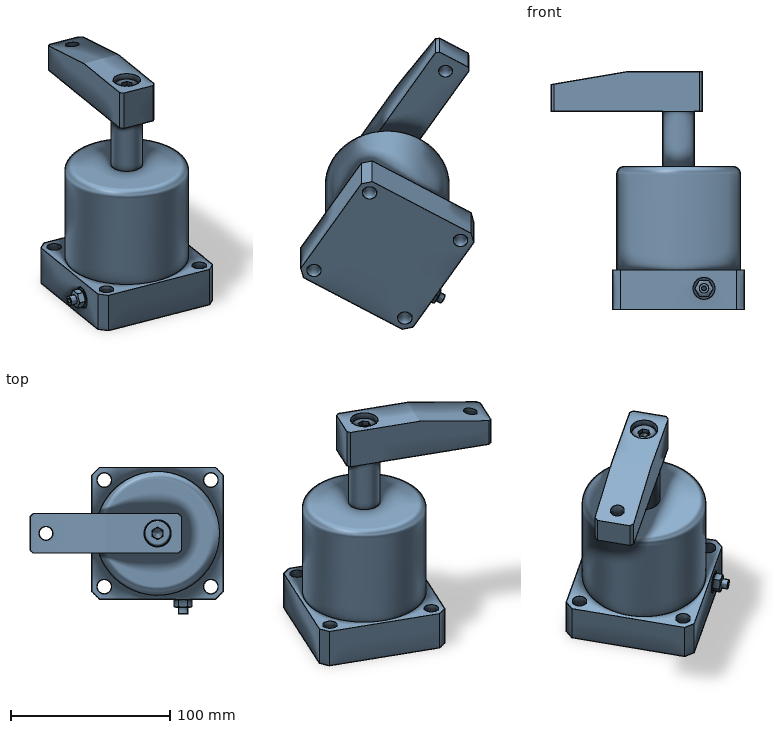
import cadquery as cq
import math

total_height = 149.5

base_side = 82.8
base_height = 25.0
base_chamfer = 5.0
mount_hole_inset = 7.9
mount_hole_diameter = 9.0
cylinder_diameter = 77.9
cylinder_top = 90.0
cylinder_fillet = 5.0

arm_height = 25.0
arm_width = 25.0
arm_tail = 15.0
arm_reach = 80.1
arm_tip_height = 16.9
arm_chamfer = 2.0
tip_hole_inset = 10.0
tip_hole_diameter = 8.5

rod_diameter = 20.0

screw_recess_diameter = 17.0
screw_recess_depth = 10.0
head_diameter = 16.0
head_height = 6.9
head_fillet = 1.0
shank_diameter = 10.0
shank_depth_in_rod = 15.0
socket_flats = 6.7
socket_depth = 3.0
socket_cone_depth = 2.0

fitting_x = 16.0
fitting_z = 13.3
fitting_hex_flats = 10.0
fitting_hex_length = 5.1
fitting_hex_face_diameter = 8.0
fitting_hex_chamfer = 0.5
fitting_length = 9.1
fitting_stem_diameter = 6.0
fitting_bore_diameter = 3.0
fitting_recess_diameter = 13.8
fitting_recess_depth = 1.0
fitting_thread_diameter = 7.6
fitting_thread_depth = 7.5

arm_bottom = total_height - arm_height
arm_length = arm_tail + arm_reach
arm_slope_start = arm_tail - arm_length / 2
head_seat = total_height - screw_recess_depth
shank_bottom = arm_bottom - shank_depth_in_rod
base_front = -base_side / 2


def vertical_cylinder(diameter, bottom, top):
    """Solid cylinder on the Z axis between two heights."""
    return cq.Workplane("XY").workplane(offset=bottom).circle(diameter / 2).extrude(top - bottom)


def fitting_cylinder(diameter, inner, outer):
    """Cylinder on the fitting axis, measured outwards from the base front face."""
    return (
        cq.Workplane("XZ", origin=(fitting_x, base_front - inner, fitting_z))
        .circle(diameter / 2)
        .extrude(outer - inner)
    )


def across_corners(across_flats):
    """Corner-to-corner size of a regular hexagon from its flat-to-flat size."""
    return across_flats / math.cos(math.pi / 6)


def make_housing():
    """Base flange and cylinder in one piece, bored for the rod and the fitting."""
    base = (
        cq.Workplane("XY")
        .rect(base_side, base_side)
        .extrude(base_height)
        .edges("|Z")
        .chamfer(base_chamfer)
    )
    hole_spacing = base_side - 2 * mount_hole_inset
    mount_holes = (
        cq.Workplane("XY")
        .rect(hole_spacing, hole_spacing, forConstruction=True)
        .vertices()
        .circle(mount_hole_diameter / 2)
        .extrude(base_height)
    )
    cylinder = vertical_cylinder(cylinder_diameter, 0, cylinder_top)
    cylinder = cylinder.faces(">Z").edges().fillet(cylinder_fillet)
    rod_bore = vertical_cylinder(rod_diameter, base_height, cylinder_top)
    fitting_recess = fitting_cylinder(fitting_recess_diameter, -fitting_recess_depth, 0)
    fitting_port = fitting_cylinder(fitting_thread_diameter, -fitting_thread_depth, 0)
    return base.union(cylinder).cut(mount_holes).cut(rod_bore).cut(fitting_recess).cut(fitting_port)


def make_rod():
    """Piston rod with a blind hole in its top for the screw shank."""
    rod = vertical_cylinder(rod_diameter, base_height, arm_bottom)
    return rod.cut(vertical_cylinder(shank_diameter, shank_bottom, arm_bottom))


def make_arm():
    """Arm tapered towards its tip, with a tip hole and a counterbored screw hole."""
    profile = (
        cq.Workplane("XZ")
        .moveTo(-arm_reach, arm_bottom)
        .lineTo(arm_tail, arm_bottom)
        .lineTo(arm_tail, total_height)
        .lineTo(arm_slope_start, total_height)
        .lineTo(-arm_reach, arm_bottom + arm_tip_height)
        .close()
    )
    arm = profile.extrude(arm_width / 2, both=True).edges("|Z").chamfer(arm_chamfer)
    tip_hole = vertical_cylinder(tip_hole_diameter, arm_bottom, total_height).translate(
        (tip_hole_inset - arm_reach, 0, 0)
    )
    screw_recess = vertical_cylinder(screw_recess_diameter, head_seat, total_height)
    screw_hole = vertical_cylinder(shank_diameter, arm_bottom, total_height)
    return arm.cut(tip_hole).cut(screw_recess).cut(screw_hole)


def make_screw():
    """Socket head screw whose hexagon socket ends in a conical drill point."""
    head_top = head_seat + head_height
    head = vertical_cylinder(head_diameter, head_seat, head_top).faces(">Z").edges().fillet(head_fillet)
    shank = vertical_cylinder(shank_diameter, shank_bottom, head_seat)
    socket_corners = across_corners(socket_flats)
    socket_floor = head_top - socket_depth
    socket = (
        cq.Workplane("XY")
        .workplane(offset=socket_floor)
        .transformed(rotate=(0, 0, 90))
        .polygon(6, socket_corners)
        .extrude(socket_depth)
    )
    socket_cone = cq.Workplane(
        cq.Solid.makeCone(
            socket_flats / 2, 0, socket_cone_depth, pnt=cq.Vector(0, 0, socket_floor), dir=cq.Vector(0, 0, -1)
        )
    )
    return head.union(shank).cut(socket).cut(socket_cone)


def make_fitting():
    """Hexagon fitting with a stem, a thread body in the base and a through bore."""
    hex_corners = across_corners(fitting_hex_flats)
    hexagon = (
        cq.Workplane("XZ", origin=(fitting_x, base_front, fitting_z))
        .polygon(6, hex_corners)
        .extrude(fitting_hex_length)
    )
    face_radius = fitting_hex_face_diameter / 2
    corner_radius = hex_corners / 2
    corner_envelope = (
        cq.Workplane("XY", origin=(fitting_x, base_front, fitting_z))
        .moveTo(0, 0)
        .lineTo(face_radius, 0)
        .lineTo(corner_radius, -fitting_hex_chamfer)
        .lineTo(corner_radius, fitting_hex_chamfer - fitting_hex_length)
        .lineTo(face_radius, -fitting_hex_length)
        .lineTo(0, -fitting_hex_length)
        .close()
        .revolve(360, (0, 0, 0), (0, 1, 0))
    )
    thread = fitting_cylinder(fitting_thread_diameter, -fitting_thread_depth, 0)
    stem = fitting_cylinder(fitting_stem_diameter, fitting_hex_length, fitting_length)
    bore = fitting_cylinder(fitting_bore_diameter, -fitting_thread_depth, fitting_length)
    return hexagon.intersect(corner_envelope).union(thread).union(stem).cut(bore)


housing = make_housing()
rod = make_rod()
arm = make_arm()
screw = make_screw()
fitting = make_fitting()

result = cq.Compound.makeCompound([housing.val(), rod.val(), arm.val(), screw.val(), fitting.val()])